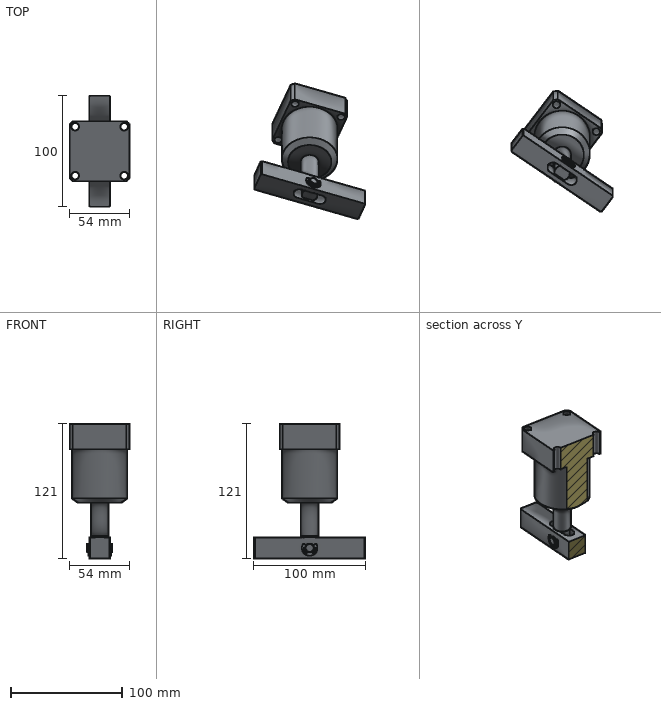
import cadquery as cq
import math

total_height = 121.0

block_side = 54.0
block_height = 23.0
block_corner_chamfer = 3.0
mount_hole_diameter = 6.6
mount_hole_spacing = 44.0
barrel_diameter = 50.0
barrel_length = 48.0
nose_chamfer_height = 4.0
nose_chamfer_width = 5.5
block_bottom = total_height - block_height
barrel_bottom = block_bottom - barrel_length

bar_width = 19.0
bar_length = 100.0
bar_height = 19.0
bar_corner_chamfer = 1.0
slot_width = 10.0
slot_length = 30.0

rod_diameter = 16.0
rod_end_chamfer = 1.0
rod_bar_gap = 0.5
rod_bottom = bar_height + rod_bar_gap
tongue_diameter = 14.0
tongue_thickness = 9.0
tongue_bottom_clearance = 2.0

pin_diameter = 8.0
pin_length = 23.0
pin_chamfer = 0.4
pin_height = bar_height / 2
groove_diameter = 7.0

clip_thickness = 0.7
clip_outer_radius = 7.0
clip_relief_radius = 5.45
clip_tip_radius = 1.0
clip_opening_half_angle = 54.0
clip_relief_start_angle = 180.0
clip_relief_end_angle = 239.0
clip_starts = (-bar_width / 2 - clip_thickness, bar_width / 2)


def pin_axis_plane(start):
    """Plane across the pin axis at the given X, with local x along Y."""
    return cq.Plane(origin=(start, 0, pin_height), xDir=(0, 1, 0), normal=(1, 0, 0))


def x_cylinder(diameter, start, length):
    """Cylinder along X on the pin axis, starting at the given X."""
    return cq.Workplane(pin_axis_plane(start)).circle(diameter / 2).extrude(length)


def make_housing():
    block = (
        cq.Workplane("XY", origin=(0, 0, block_bottom))
        .rect(block_side, block_side)
        .extrude(block_height)
        .edges("|Z")
        .chamfer(block_corner_chamfer)
    )
    mount_holes = (
        cq.Workplane("XY", origin=(0, 0, block_bottom))
        .rect(mount_hole_spacing, mount_hole_spacing, forConstruction=True)
        .vertices()
        .circle(mount_hole_diameter / 2)
        .extrude(block_height)
    )
    barrel_radius = barrel_diameter / 2
    barrel = (
        cq.Workplane("XZ")
        .moveTo(0, barrel_bottom)
        .lineTo(barrel_radius - nose_chamfer_width, barrel_bottom)
        .lineTo(barrel_radius, barrel_bottom + nose_chamfer_height)
        .lineTo(barrel_radius, block_bottom)
        .lineTo(0, block_bottom)
        .close()
        .revolve(360, (0, 0, 0), (0, 1, 0))
    )
    return block.cut(mount_holes).union(barrel)


def make_rod():
    shank = (
        cq.Workplane("XY", origin=(0, 0, rod_bottom))
        .circle(rod_diameter / 2)
        .extrude(barrel_bottom - rod_bottom)
        .faces("<Z")
        .chamfer(rod_end_chamfer)
    )
    tongue_length = rod_bottom - tongue_bottom_clearance
    tongue_plane = cq.Workplane("XY", origin=(0, 0, tongue_bottom_clearance))
    tongue_round = tongue_plane.circle(tongue_diameter / 2).extrude(tongue_length)
    tongue_flats = tongue_plane.rect(tongue_thickness, tongue_diameter).extrude(tongue_length)
    tongue = tongue_round.intersect(tongue_flats)
    pin_hole = x_cylinder(pin_diameter, -tongue_thickness, 2 * tongue_thickness)
    return shank.union(tongue).cut(pin_hole)


def make_bar():
    blank = (
        cq.Workplane("XY")
        .rect(bar_width, bar_length)
        .extrude(bar_height)
        .edges("|Z")
        .chamfer(bar_corner_chamfer)
    )
    slot = cq.Workplane("XY").slot2D(slot_length, slot_width, 90).extrude(bar_height)
    pin_hole = x_cylinder(pin_diameter, -bar_width / 2, bar_width)
    return blank.cut(slot).cut(pin_hole)


def make_pin():
    shaft = x_cylinder(pin_diameter, -pin_length / 2, pin_length)
    pin = shaft.faces("<X or >X").chamfer(pin_chamfer)
    for groove_start in clip_starts:
        groove_ring = x_cylinder(pin_diameter, groove_start, clip_thickness).cut(
            x_cylinder(groove_diameter, groove_start, clip_thickness)
        )
        pin = pin.cut(groove_ring)
    return pin


def polar(radius, degrees):
    angle = math.radians(degrees)
    return (radius * math.cos(angle), radius * math.sin(angle))


def ring_sector(plane, inner_radius, outer_radius, start_angle, end_angle):
    """Part of a flat ring between two angles, one clip thickness deep."""
    middle_angle = (start_angle + end_angle) / 2
    return (
        cq.Workplane(plane)
        .moveTo(*polar(inner_radius, start_angle))
        .lineTo(*polar(outer_radius, start_angle))
        .threePointArc(polar(outer_radius, middle_angle), polar(outer_radius, end_angle))
        .lineTo(*polar(inner_radius, end_angle))
        .threePointArc(polar(inner_radius, middle_angle), polar(inner_radius, start_angle))
        .close()
        .extrude(clip_thickness)
    )


def make_clip(start):
    """E-shaped clip, open upward, gripping the groove on three pads."""
    plane = pin_axis_plane(start)
    groove_radius = groove_diameter / 2
    left_tip_angle = 90 + clip_opening_half_angle
    right_tip_angle = 360 + 90 - clip_opening_half_angle
    clip = ring_sector(plane, groove_radius, clip_outer_radius, left_tip_angle, right_tip_angle)
    outer_tips = cq.selectors.BoxSelector(
        (start - clip_thickness, -clip_outer_radius, pin_height + clip_outer_radius / 2),
        (start + 2 * clip_thickness, clip_outer_radius, pin_height + clip_outer_radius),
    )
    clip = clip.edges("|X").edges(outer_tips).fillet(clip_tip_radius)
    left_relief = ring_sector(
        plane, groove_radius, clip_relief_radius, clip_relief_start_angle, clip_relief_end_angle
    )
    right_relief = left_relief.mirror("XZ")
    return clip.cut(left_relief).cut(right_relief)


housing = make_housing()
rod = make_rod()
bar = make_bar()
pin = make_pin()
clips = [make_clip(start) for start in clip_starts]

result = cq.Compound.makeCompound(
    [housing.val(), rod.val(), bar.val(), pin.val(), *[clip.val() for clip in clips]]
)